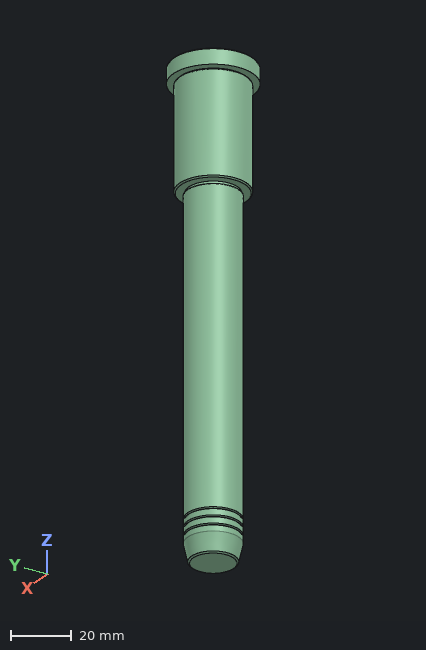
import cadquery as cq

total_length = 181.0

head_diameter = 31.0
head_height = 6.2
head_edge_chamfer = 0.5

sleeve_diameter = 26.0
sleeve_length = 39.8
sleeve_edge_chamfer = 0.5

head_relief_diameter = 25.0
head_relief_height = 0.5

neck_diameter = 19.0
neck_height = 1.0

stem_diameter = 20.0

tip_diameter = 16.7
tip_height = 7.0
tip_edge_chamfer = 0.5

groove_count = 3
groove_width = 0.7
groove_depth = 0.45
lowest_groove_height = 9.6
highest_groove_height = 15.5
groove_pitch = (highest_groove_height - lowest_groove_height) / (groove_count - 1)

head_bottom = total_length - head_height
sleeve_bottom = head_bottom - sleeve_length
stem_top = sleeve_bottom - neck_height


def cylinder(diameter, bottom, top):
    """Round section on the Z axis between two levels."""
    return cq.Workplane("XY").workplane(offset=bottom).circle(diameter / 2).extrude(top - bottom)


def make_head():
    head = cylinder(head_diameter, head_bottom, total_length)
    return head.faces(">Z").edges().chamfer(head_edge_chamfer)


def make_sleeve():
    """Sleeve with a chamfered lower edge and a shallow relief under the head."""
    relief_bottom = head_bottom - head_relief_height
    sleeve = cylinder(sleeve_diameter, sleeve_bottom, relief_bottom)
    sleeve = sleeve.faces("<Z").edges().chamfer(sleeve_edge_chamfer)
    return sleeve.union(cylinder(head_relief_diameter, relief_bottom, head_bottom))


def make_neck():
    return cylinder(neck_diameter, stem_top, sleeve_bottom)


def make_tip():
    """Cone narrowing from the stem to the free end."""
    tip = (
        cq.Workplane("XY")
        .circle(tip_diameter / 2)
        .workplane(offset=tip_height)
        .circle(stem_diameter / 2)
        .loft(ruled=True)
    )
    return tip.faces("<Z").edges().chamfer(tip_edge_chamfer)


def make_groove(centre_height):
    """V-section ring of material removed from the stem surface."""
    surface = stem_diameter / 2
    half_width = groove_width / 2
    return (
        cq.Workplane("XZ")
        .moveTo(surface - groove_depth, centre_height)
        .lineTo(surface, centre_height + half_width)
        .lineTo(surface + groove_depth, centre_height + half_width)
        .lineTo(surface + groove_depth, centre_height - half_width)
        .lineTo(surface, centre_height - half_width)
        .close()
        .revolve(360, (0, 0, 0), (0, 1, 0))
    )


def make_stem():
    stem = cylinder(stem_diameter, tip_height, stem_top)
    for index in range(groove_count):
        stem = stem.cut(make_groove(lowest_groove_height + index * groove_pitch))
    return stem


result = make_head().union(make_sleeve()).union(make_neck()).union(make_stem()).union(make_tip())